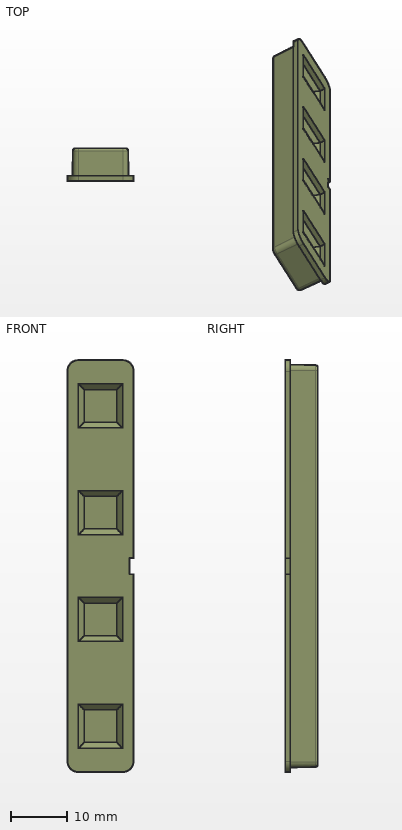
import cadquery as cq
import math

length = 73.5
width = 11.8
depth = 5.9

flange_thickness = 0.95
flange_corner_radius = 2.0

body_side_inset = 0.9
body_end_inset = 0.8
body_height = depth - flange_thickness
body_corner_radius = 1.0
draft_angle = 1.0
back_edge_radius = 0.5

pocket_count = 4
pocket_pitch = 19.0
pocket_size = 7.9
pocket_straight_depth = flange_thickness
pocket_taper_depth = 1.0
pocket_taper_angle = 45.0

notch_depth = 0.7
notch_length = 2.9


def face_plane(y):
    """XZ workplane at the given Y whose extrusions run toward +Y."""
    return cq.Workplane(cq.Plane(origin=(0, y, 0), xDir=(-1, 0, 0), normal=(0, 1, 0)))


def make_flange():
    plate = face_plane(0).rect(width, length).extrude(flange_thickness)
    plate = plate.edges("|Y").fillet(flange_corner_radius)
    notch = cq.Workplane("XY").box(2 * notch_depth, 2 * flange_thickness, notch_length)
    return plate.cut(notch.translate((width / 2, 0, 0)))


def make_body():
    outline = cq.Sketch().rect(width - 2 * body_side_inset, length - 2 * body_end_inset)
    outline = outline.vertices().fillet(body_corner_radius)
    body = face_plane(flange_thickness).placeSketch(outline).extrude(body_height, taper=draft_angle)
    return body.faces(">Y").edges().fillet(back_edge_radius)


def make_pocket(z):
    """Straight-sided mouth followed by walls sloping in to a flat floor."""
    mouth = face_plane(0).center(0, z).rect(pocket_size, pocket_size).extrude(pocket_straight_depth)
    floor_size = pocket_size - 2 * pocket_taper_depth * math.tan(math.radians(pocket_taper_angle))
    slope = (
        face_plane(pocket_straight_depth)
        .center(0, z)
        .rect(pocket_size, pocket_size)
        .workplane(offset=pocket_taper_depth)
        .rect(floor_size, floor_size)
        .loft(ruled=True)
    )
    return mouth.union(slope)


result = make_flange().union(make_body())
for index in range(pocket_count):
    pocket_z = (index - (pocket_count - 1) / 2) * pocket_pitch
    result = result.cut(make_pocket(pocket_z))